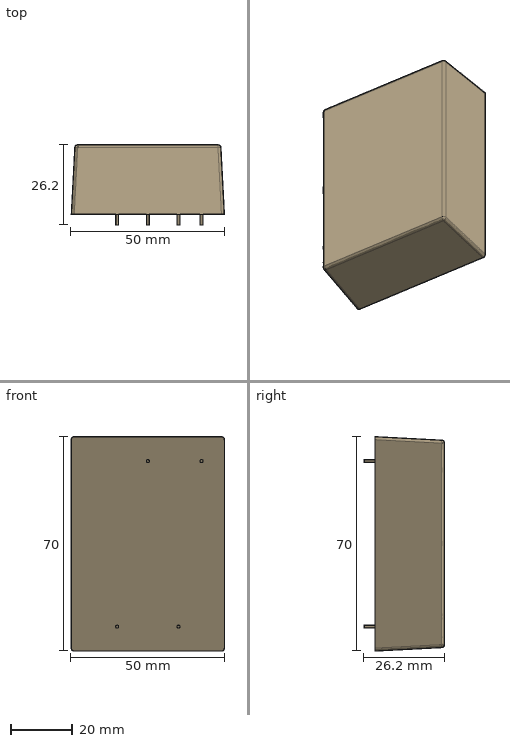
import cadquery as cq
import math

case_width = 50.0
case_height = 70.0
case_depth = 22.7
draft_angle = 3.0
corner_radius = 1.0
rear_edge_radius = 1.0

pin_diameter = 1.0
pin_length = 3.5
pin_row_offset = 27.0
upper_pin_x = (0.0, 17.5)
lower_pin_x = (-10.0, 10.0)


def make_case():
    """Drafted block with rounded side corners and a rounded rear edge."""
    inset = case_depth * math.tan(math.radians(draft_angle))
    block = (
        cq.Workplane("XZ")
        .rect(case_width, case_height)
        .workplane(offset=-case_depth)
        .rect(case_width - 2 * inset, case_height - 2 * inset)
        .loft(ruled=True)
    )
    side_corners = block.edges("not(#Y)")
    rounded = side_corners.fillet(corner_radius)
    return rounded.faces(">Y").edges().fillet(rear_edge_radius)


def make_pins():
    """Two rows of round pins, each starting flush on the mounting face."""
    upper_row = [(x, pin_row_offset) for x in upper_pin_x]
    lower_row = [(x, -pin_row_offset) for x in lower_pin_x]
    return (
        cq.Workplane("XZ")
        .pushPoints(upper_row + lower_row)
        .circle(pin_diameter / 2)
        .extrude(pin_length)
    )


result = make_case().union(make_pins())